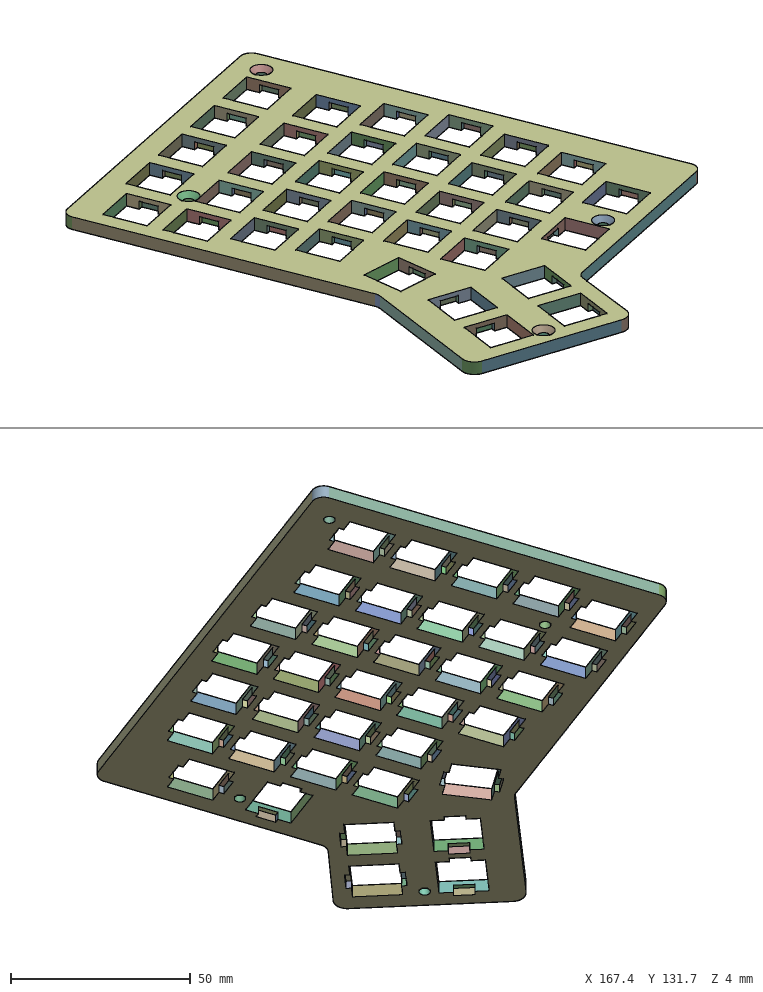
import cadquery as cq
import math


plate_thickness = 4.0
main_width = 143.95
main_height = 109.0
corner_radius = 3.5
thumb_corner_radius = 4.0

right_notch_y = 36.5
bottom_notch_x = 100.1
upper_thumb_x = 168.85
upper_thumb_y = 22.55
lower_thumb_x = 142.0
lower_thumb_y = -24.22

key_pitch = 19.05
wide_key_spacing = 24.15
cutout_size = 14.0
clip_width = 6.0
clip_depth = 1.5
clip_web = 1.5

first_column_x = 36.3
bottom_row_y = 12.3
outer_column_count = 5
outer_column_offset = 21.95
inner_column_lowest_y = 57.45
ring_column_lift = 4.25
middle_column_lift = 7.0
index_column_lift = 4.25
reach_column_lift = 2.35
columns = [
    (0.0, 5),
    (ring_column_lift, 5),
    (middle_column_lift, 5),
    (index_column_lift + key_pitch, 4),
    (reach_column_lift + key_pitch, 4),
]

tilted_key_position = (99.75, 13.3)
tilted_key_angle = -15.0

thumb_angle = -30.0
thumb_key_across = 122.63
thumb_key_up = 91.39

screw_diameter = 3.18
countersink_diameter = 6.4
countersink_angle = 90.0
screw_positions = [
    (9.0, 101.05),
    (134.6, 68.1),
    (26.2, 26.1),
    (150.55, 3.3),
]


def thumb_point(across, up):
    """Plate coordinates of a point given along the tilted thumb block axes."""
    angle = math.radians(thumb_angle)
    x = across * math.cos(angle) - up * math.sin(angle)
    y = across * math.sin(angle) + up * math.cos(angle)
    return (x, y)


def round_corners(blank, corners, radius):
    """Fillet the vertical edges of the blank that stand at the given corners."""
    for x, y in corners:
        nearest_edge = cq.selectors.NearestToPointSelector((x, y, plate_thickness / 2))
        blank = blank.edges("|Z").edges(nearest_edge).fillet(radius)
    return blank


def plate_blank():
    main_corners = [
        (bottom_notch_x, 0),
        (0, 0),
        (0, main_height),
        (main_width, main_height),
        (main_width, right_notch_y),
    ]
    thumb_corners = [
        (upper_thumb_x, upper_thumb_y),
        (lower_thumb_x, lower_thumb_y),
    ]
    blank = cq.Workplane("XY").polyline(main_corners + thumb_corners).close().extrude(plate_thickness)
    blank = round_corners(blank, main_corners, corner_radius)
    return round_corners(blank, thumb_corners, thumb_corner_radius)


def switch_cutter(position, angle=0.0):
    """Square through cutout with a clip recess under its two opposite local Y walls."""
    cutter = cq.Workplane("XY").rect(cutout_size, cutout_size).extrude(plate_thickness)
    recess_length = cutout_size + 2 * clip_depth
    recess = cq.Workplane("XY").rect(clip_width, recess_length).extrude(plate_thickness - clip_web)
    x, y = position
    return cutter.union(recess).rotate((0, 0, 0), (0, 0, 1), angle).translate((x, y, 0))


def switch_placements():
    """Position and rotation of every switch."""
    placements = []
    for index, (lift, key_count) in enumerate(columns):
        x = first_column_x + index * key_pitch
        for row in range(key_count):
            placements.append(((x, bottom_row_y + lift + row * key_pitch), 0.0))

    placements.append(((first_column_x - key_pitch, bottom_row_y), 0.0))
    for row in range(1, outer_column_count):
        x = first_column_x - outer_column_offset
        placements.append(((x, bottom_row_y + row * key_pitch), 0.0))

    inner_column_x = first_column_x + len(columns) * key_pitch
    placements.append(((inner_column_x, inner_column_lowest_y), 90.0))
    placements.append(((inner_column_x, inner_column_lowest_y + wide_key_spacing), 0.0))

    placements.append((tilted_key_position, tilted_key_angle))

    for across in (thumb_key_across - key_pitch, thumb_key_across):
        placements.append((thumb_point(across, thumb_key_up), thumb_angle))
        lower_position = thumb_point(across, thumb_key_up - wide_key_spacing)
        placements.append((lower_position, thumb_angle + 90.0))
    return placements


def cut_switches(plate):
    for position, angle in switch_placements():
        plate = plate.cut(switch_cutter(position, angle))
    return plate


def cut_screw_holes(plate):
    top_plane = cq.Workplane("XY", origin=(0, 0, plate_thickness))
    holes = top_plane.pushPoints(screw_positions).circle(screw_diameter / 2).extrude(-plate_thickness)
    radius_step = (countersink_diameter - screw_diameter) / 2
    sink_depth = radius_step / math.tan(math.radians(countersink_angle / 2))
    sinks = (
        top_plane.pushPoints(screw_positions)
        .circle(countersink_diameter / 2)
        .extrude(-sink_depth, taper=countersink_angle / 2)
    )
    return plate.cut(holes).cut(sinks)


result = cut_screw_holes(cut_switches(plate_blank()))